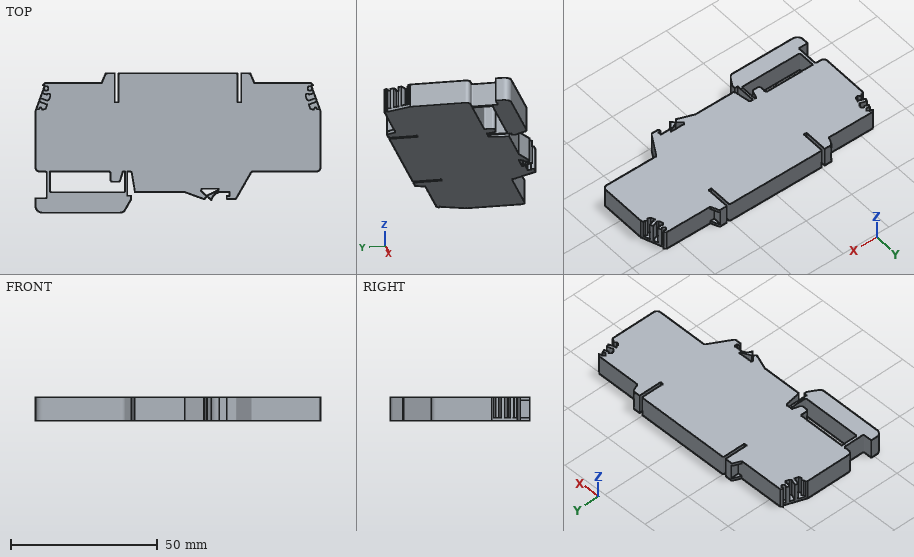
import cadquery as cq
import math

length = 97.2
width = 47.5
thickness = 8.2
wall = 1.2

shoulder_y = 44.2
corner_y = 34.5
body_y = 14.0
rail_y = 7.0
hook_y = 4.7

body_radius = 1.6
edge_radius = 0.4
joint_radius = 0.5

slant_angle = math.radians(20)
slant_length = 9.2
lip_reach = 0.7
lip_rise = 0.1
shoulder_start_x = 3.4

pocket_depth = 3.0
pocket_mouth = -0.5
bore_radius = 0.8
bore_inward = 0.8
bore_along = 8.65
bore_neck = 1.0
lobe_radius = 0.7
lobe_inward = 2.3
lobe_along = 6.6
middle_pocket_start = 4.9
middle_pocket_end = 6.7
lower_pocket_start = 0.9
lower_pocket_end = 3.6

tab_base_x = 22.55
tab_tip_x = 24.0
tab_recess_x = 24.3
slot_x = 27.1
slot_width = 1.2
slot_depth = 9.8
panel_x = slot_x + slot_width

left_leg_x = 3.9
left_leg_width = 1.2
right_leg_x = 30.5
right_leg_width = 0.9
foot_shelf_y = 5.0
foot_heel_y = 5.8
foot_bevel_y = 4.6
foot_end_x = 32.7
foot_slope = math.radians(60)
foot_radius = 2.4
foot_toe_radius = 2.0
foot_bevel_radius = 0.3
window_radius = 0.4

finger_left_x = 25.6
finger_right_x = 29.8
finger_bottom_y = 10.5
finger_lean = 1.1
finger_radius = 0.9

block_top_x = 32.8
block_left_x = 33.9
block_right_x = 73.7

nose_start_x = 50.9
nose_left_x = 57.3
nose_right_x = 57.6
nose_tip = (58.4, 5.6)
window_left_x = 56.7
window_corner = (56.5, 7.5)
window_top_y = 8.2
window_right_x = 62.4
barb_root_y = 7.8
barb_upper_corner = (58.6, 5.9)
barb_lower_corner = (58.6, 5.5)
barb_tip = (60.0, 4.3)
barb_arc_middle = (60.75, 5.8)
barb_end_x = 62.6

hook_gap_x = 66.1
hook_tip_x = 65.1
hook_lip_y = 5.7
hook_end_x = 68.3
hook_radius = 0.6
hook_tip_radius = 0.5


def polygon(points):
    return cq.Workplane("XY").polyline(points).close()


def prism(outline, bottom=0.0, top=thickness):
    """Extrude a closed XY outline between two heights."""
    return outline.extrude(top - bottom).translate((0, 0, bottom))


def box(x0, x1, y0, y1, bottom=0.0, top=thickness):
    return prism(polygon([(x0, y0), (x1, y0), (x1, y1), (x0, y1)]), bottom, top)


def mirrored(shape):
    """Copy of a left-hand shape at the right-hand end."""
    return shape.mirror("YZ", (length / 2, 0, 0))


def round_at(shape, radius, *points):
    """Fillet the vertical edges standing on the given XY points."""
    reach = 0.05
    for x, y in points:
        selector = cq.selectors.BoxSelector(
            (x - reach, y - reach, -reach), (x + reach, y + reach, thickness + reach)
        )
        shape = shape.edges(selector).fillet(radius)
    return shape


def slant_point(inward, along):
    """Point measured inward from, and upward along, the left slanted edge."""
    x = along * math.sin(slant_angle) + inward * math.cos(slant_angle)
    y = corner_y + along * math.cos(slant_angle) - inward * math.sin(slant_angle)
    return x, y


def make_body():
    left_half = [
        (0, body_y),
        (0, corner_y),
        slant_point(0, slant_length),
        slant_point(-lip_reach, slant_length + lip_rise),
        (shoulder_start_x, shoulder_y),
        (tab_base_x, shoulder_y),
        (tab_tip_x, width),
    ]
    right_half = [(length - x, y) for x, y in reversed(left_half)]
    body = prism(polygon(left_half + right_half))
    body = round_at(body, body_radius, (0, body_y), (length, body_y))
    return round_at(body, edge_radius, (tab_tip_x, width), (length - tab_tip_x, width))


def make_foot():
    """Foot bar with its two legs, enclosing the window below the body."""
    toe_x = foot_end_x - foot_bevel_y / math.tan(foot_slope)
    right_leg_end_x = right_leg_x + right_leg_width
    left_leg_end_x = left_leg_x + left_leg_width
    bevel_corner = (foot_end_x, foot_bevel_y)
    shelf_corner = (left_leg_x, foot_shelf_y)
    window_corners = [(right_leg_x, rail_y), (left_leg_end_x, rail_y)]
    foot = prism(polygon([
        (0, 0),
        (toe_x, 0),
        bevel_corner,
        (foot_end_x, foot_heel_y),
        (right_leg_end_x, foot_heel_y),
        (right_leg_end_x, body_y),
        (right_leg_x, body_y),
        *window_corners,
        (left_leg_end_x, body_y),
        (left_leg_x, body_y),
        shelf_corner,
        (0, foot_shelf_y),
    ]))
    foot = round_at(foot, foot_radius, (0, 0))
    foot = round_at(foot, foot_toe_radius, (toe_x, 0))
    foot = round_at(foot, foot_bevel_radius, bevel_corner)
    return round_at(foot, window_radius, shelf_corner, *window_corners)


def make_finger():
    tip = [(finger_left_x, finger_bottom_y), (finger_right_x - finger_lean, finger_bottom_y)]
    finger = prism(polygon([(finger_left_x, body_y), *tip, (finger_right_x, body_y)]))
    return round_at(finger, finger_radius, *tip)


def make_center():
    """Centre block, ending in the sprung latch and the hook."""
    hook_tip = (hook_tip_x, hook_y)
    hook_heel = (hook_end_x, hook_y)
    left_side = [
        (block_top_x, body_y),
        (block_left_x, rail_y),
        (nose_start_x, rail_y),
        (nose_left_x, hook_y),
        (nose_right_x, hook_y),
        nose_tip,
        window_corner,
        (window_left_x, window_top_y),
        (window_right_x, window_top_y),
        (window_right_x, barb_root_y),
        barb_upper_corner,
        barb_lower_corner,
        barb_tip,
    ]
    outline = (
        cq.Workplane("XY")
        .polyline(left_side)
        .threePointArc(barb_arc_middle, (barb_end_x, rail_y))
        .lineTo(hook_gap_x, rail_y)
        .lineTo(hook_gap_x, hook_lip_y)
        .lineTo(hook_tip_x, hook_lip_y)
        .lineTo(*hook_tip)
        .lineTo(*hook_heel)
        .lineTo(block_right_x, body_y)
        .close()
    )
    center = round_at(prism(outline), hook_tip_radius, hook_tip)
    return round_at(center, hook_radius, hook_heel)


def make_slot():
    """Slot between a tab and the middle panel."""
    return box(slot_x, panel_x, width - slot_depth, width)


def make_tab_recess():
    """Recess in the slanted tab face, leaving a wall above and below."""
    return box(tab_base_x, tab_recess_x, shoulder_y, width, wall, thickness - wall)


def pocket(points):
    """Pocket whose outline is given as (inward, along) pairs on the slanted end."""
    return prism(polygon([slant_point(*point) for point in points]), wall)


def pocket_bore(inward, along, radius):
    """Round pocket centred on the given place of the slanted end."""
    return prism(cq.Workplane("XY").center(*slant_point(inward, along)).circle(radius), wall)


def make_marker_pockets():
    """Three snap-in pockets in a slanted end, closed at the bottom."""
    upper = pocket_bore(bore_inward, bore_along, bore_radius).union(pocket([
        (pocket_mouth, bore_along - bore_neck / 2),
        (bore_inward, bore_along - bore_neck / 2),
        (bore_inward, bore_along + bore_neck / 2),
        (pocket_mouth, bore_along + bore_neck / 2),
    ]))

    bevel = 0.5
    middle = pocket([
        (pocket_mouth, middle_pocket_start),
        (pocket_depth - bevel, middle_pocket_start),
        (pocket_depth, middle_pocket_start + bevel),
        (pocket_depth, middle_pocket_end),
        (pocket_mouth, middle_pocket_end),
    ]).union(pocket_bore(lobe_inward, lobe_along, lobe_radius))

    lower = pocket([
        (pocket_mouth, lower_pocket_end),
        (2.5, lower_pocket_end),
        (pocket_depth, 3.8),
        (pocket_depth, 2.0),
        (2.0, 1.4),
        (1.2, 2.0),
        (0.8, 1.2),
        (0, lower_pocket_start),
        (pocket_mouth, lower_pocket_start),
    ])
    return upper.union(middle).union(lower)


result = make_body().union(make_foot()).union(make_finger()).union(make_center())
for cutter in (make_slot(), make_tab_recess(), make_marker_pockets()):
    result = result.cut(cutter).cut(mirrored(cutter))

result = round_at(result, edge_radius, (panel_x, width), (length - panel_x, width))
for joint_x in (left_leg_x, finger_left_x, block_top_x, block_right_x):
    result = round_at(result, joint_radius, (joint_x, body_y))